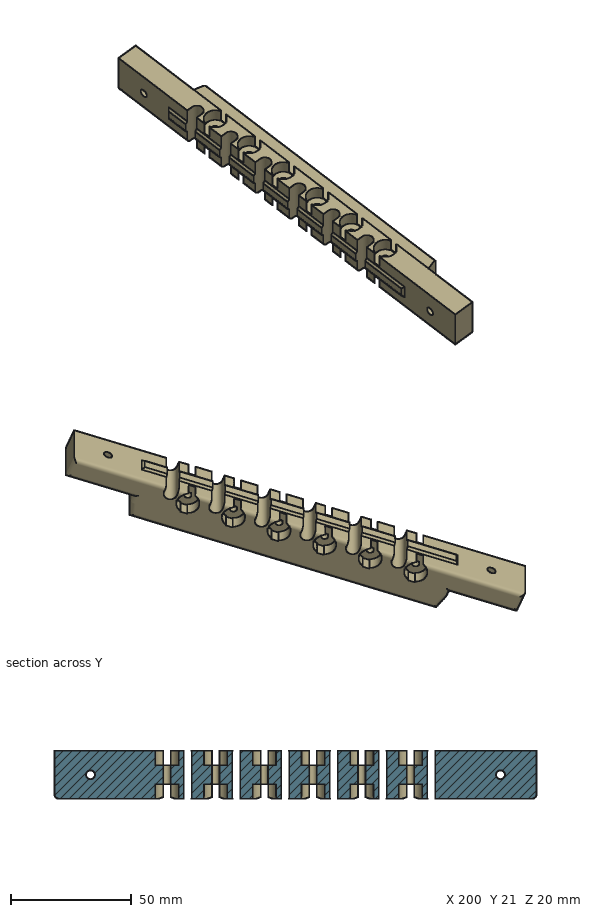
import cadquery as cq

bar_length = 200
bar_depth = 10
bar_height = 20
edge_radius = 2

block_length = 140
block_depth = 10
block_height = 13.5
block_straight_depth = 3.0
block_end_taper = 2

rail_length = 140
rail_height = 6.5
rail_depth = 1.0
rail_bevel = rail_depth

station_count = 6
station_pitch = 20.2
slot_row_center = -5.8
slot_width = 5.5
slot_depth = 5.5
hole_row_center = 2.8
hole_diameter = 3.0
counterbore_diameter = 9.5
slit_width = 3.0
recess_height = 6

mount_hole_diameter = 3.5
mount_hole_end_distance = 15.0

block_back = bar_depth + block_depth
mid_height = bar_height / 2


def station_points(row_center, y):
    first = row_center - station_pitch * (station_count - 1) / 2
    return [(first + i * station_pitch, y) for i in range(station_count)]


def make_body():
    """Bar and back block, with the outer bottom edges and upper back edge rounded."""
    bar = cq.Workplane("XY").box(bar_length, bar_depth, bar_height, centered=(True, False, False))
    front_half = block_length / 2
    back_half = front_half - block_end_taper
    taper_start = bar_depth + block_straight_depth
    block = (
        cq.Workplane("XY")
        .polyline([
            (-front_half, bar_depth),
            (front_half, bar_depth),
            (front_half, taper_start),
            (back_half, block_back),
            (-back_half, block_back),
            (-front_half, taper_start),
        ])
        .close()
        .extrude(block_height)
    )
    body = bar.union(block)
    body = body.faces("<Z").edges().fillet(edge_radius)
    return body.faces(">Y").edges(">Z").fillet(edge_radius)


def make_rail():
    """Low rectangular rail, bevelled on all four sides."""
    return (
        cq.Workplane("XZ")
        .center(0, mid_height)
        .rect(rail_length, rail_height)
        .workplane(offset=rail_depth)
        .rect(rail_length - 2 * rail_bevel, rail_height - 2 * rail_bevel)
        .loft(ruled=True)
    )


def make_slots():
    """Vertical round-bottomed slots that open through the front of the bar and rail."""
    slot_radius = slot_width / 2
    center_y = slot_depth - slot_radius
    straight_depth = center_y + rail_depth
    centers = station_points(slot_row_center, center_y)
    round_bottoms = cq.Workplane("XY").pushPoints(centers).circle(slot_radius).extrude(bar_height)
    mouths = (
        cq.Workplane("XY")
        .pushPoints([(x, y - straight_depth / 2) for x, y in centers])
        .rect(slot_width, straight_depth)
        .extrude(bar_height)
    )
    return round_bottoms.union(mouths)


def make_station_holes():
    """Vertical through holes, counterbored from both ends, each counterbore crossed by a slit."""
    centers = station_points(hole_row_center, bar_depth / 2)
    base = cq.Workplane("XY").pushPoints(centers)
    holes = base.circle(hole_diameter / 2).extrude(bar_height)
    counterbores = base.circle(counterbore_diameter / 2).extrude(recess_height)
    slits = base.rect(slit_width, bar_depth).extrude(recess_height)
    lower_recesses = counterbores.union(slits)
    upper_recesses = lower_recesses.translate((0, 0, bar_height - recess_height))
    return holes.union(lower_recesses).union(upper_recesses)


def make_mount_holes():
    """Horizontal through holes, one near each end of the bar."""
    offset = bar_length / 2 - mount_hole_end_distance
    return (
        cq.Workplane("XZ")
        .pushPoints([(-offset, mid_height), (offset, mid_height)])
        .circle(mount_hole_diameter / 2)
        .extrude(-bar_depth)
    )


result = (
    make_body()
    .union(make_rail())
    .cut(make_slots())
    .cut(make_station_holes())
    .cut(make_mount_holes())
)